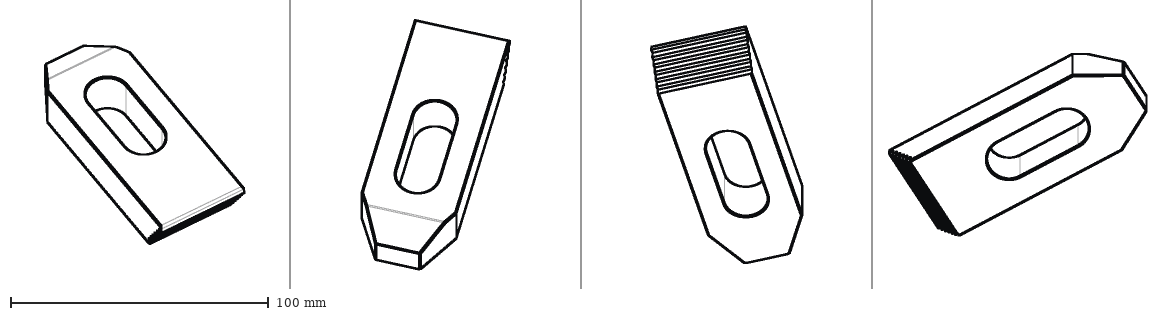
import cadquery as cq
import math

length = 100.0
width = 38.0
height = 19.0
edge_break = 0.5
slope_edge_break = 0.3
heel_surplus = 5.0
match_tolerance = 0.01

taper_angle = math.radians(30)
nose_width = 18.0
nose_height = 12.0
taper_length = (width - nose_width) / 2 / math.tan(taper_angle)
slope_length = (height - nose_height) / math.tan(taper_angle)

slot_start = 22.5
slot_end = 65.5
slot_width = 17.0

tooth_count = 6
heel_angle = math.radians(30)
tooth_pitch_z = 2.7
tooth_pitch_x = tooth_pitch_z * math.tan(heel_angle)
tooth_undercut = 2.0
tooth_rise = 0.5
top_tip_drop = 2.9
heel_radius = 1.0
flank_lean = (tooth_undercut - tooth_pitch_x) / (tooth_pitch_z + tooth_rise)


def make_blank():
    """Tapered bar with broken long edges, left overlong at the heel."""
    blank_end = length + heel_surplus
    side = (
        cq.Workplane("XZ")
        .polyline([(0, 0), (blank_end, 0), (blank_end, height),
                   (slope_length, height), (0, nose_height)])
        .close()
        .extrude(width / 2, both=True)
    )
    slope_face = side.faces(cq.selectors.NearestToPointSelector(
        (slope_length / 2, 0, (nose_height + height) / 2)))
    side = slope_face.edges("|Y").chamfer(slope_edge_break)
    plan = (
        cq.Workplane("XY")
        .polyline([(0, -nose_width / 2), (taper_length, -width / 2), (blank_end, -width / 2),
                   (blank_end, width / 2), (taper_length, width / 2), (0, nose_width / 2)])
        .close()
        .extrude(height)
    )
    blank = side.intersect(plan)

    def is_broken(edge):
        center = edge.Center()
        on_side = abs(center.y) > nose_width / 4
        at_heel = center.x > blank_end - edge_break
        at_shoulder = edge.geomType() == "LINE" and abs(center.x - taper_length) < match_tolerance
        nose_bottom = center.x < edge_break and center.z < edge_break
        return (on_side and not at_heel and not at_shoulder) or nose_bottom

    broken_edges = [edge for edge in blank.edges().vals() if is_broken(edge)]
    return blank.newObject(broken_edges).chamfer(edge_break)


def make_heel_envelope():
    """Solid that keeps everything in front of the toothed heel."""
    top_tip_z = height - top_tip_drop
    outline = [(0, 0), (0, height), (length - flank_lean * top_tip_drop, height)]
    for tooth in range(tooth_count):
        tip_x = length - tooth * tooth_pitch_x
        tip_z = top_tip_z - tooth * tooth_pitch_z
        outline.append((tip_x, tip_z))
        outline.append((tip_x - tooth_undercut, tip_z + tooth_rise))
    last_root_x, last_root_z = outline[-1]
    outline.append((last_root_x + flank_lean * last_root_z, 0))
    envelope = cq.Workplane("XZ").polyline(outline).close().extrude(width, both=True)
    return envelope.faces(">Z").edges(">X").fillet(heel_radius)


def make_slot():
    """Through slot with both rims broken."""
    slot_center = (slot_start + slot_end) / 2
    slot_length = slot_end - slot_start
    slot = cq.Workplane("XY").center(slot_center, 0).slot2D(slot_length, slot_width).extrude(height)
    bottom_rim = (
        cq.Workplane("XY")
        .center(slot_center, 0)
        .slot2D(slot_length + 2 * edge_break, slot_width + 2 * edge_break)
        .extrude(edge_break, taper=45)
    )
    top_rim = bottom_rim.mirror("XY").translate((0, 0, height))
    return slot.union(bottom_rim).union(top_rim)


result = make_blank().intersect(make_heel_envelope()).cut(make_slot())